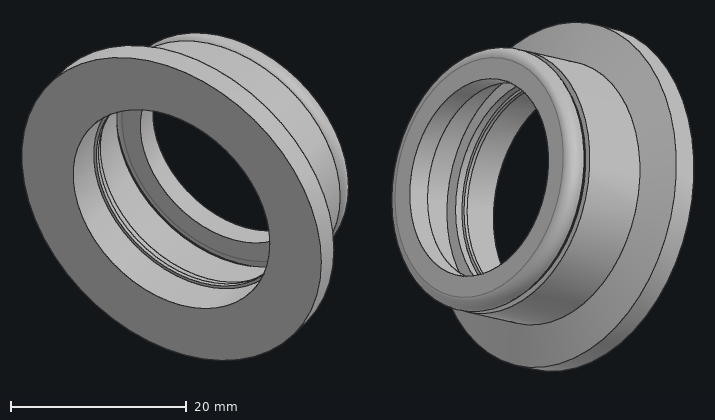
import cadquery as cq


flange_radius = 19.95
rim_thickness = 2.8
tube_radius = 15.25
cone_end = 4.03
tube_length = 11.92

bore_radius = 13.1
lip_start = 4.5
lip_radius = 12.72
lip_thickness = 0.48
rear_bore_radius = 14.5
rear_bore_start = 6.0

ring_bore_radius = 11.4
ring_outer_radius = tube_radius
overall_length = 14.8
ring_gap = 0.08
ring_start = tube_length + ring_gap
ring_round = (overall_length - ring_start) / 2


def turn(profile):
    """Turn a closed (radius, Y) profile about the Y axis."""
    return profile.close().revolve(360, (0, 0, 0), (0, 1, 0))


def make_housing():
    """Flange with a conical back, a tube and a stepped bore with an inner lip."""
    lip_back = lip_start + lip_thickness
    profile = (
        cq.Workplane("XY")
        .moveTo(bore_radius, 0)
        .lineTo(flange_radius, 0)
        .lineTo(flange_radius, rim_thickness)
        .lineTo(tube_radius, cone_end)
        .lineTo(tube_radius, tube_length)
        .lineTo(rear_bore_radius, tube_length)
        .lineTo(rear_bore_radius, rear_bore_start)
        .lineTo(bore_radius, rear_bore_start)
        .lineTo(bore_radius, lip_back)
        .lineTo(lip_radius, lip_back)
        .lineTo(lip_radius, lip_start)
        .lineTo(bore_radius, lip_start)
    )
    return turn(profile)


def make_ring():
    """Flat ring with a half-round outer edge, standing just clear of the tube."""
    round_center = ring_outer_radius - ring_round
    profile = (
        cq.Workplane("XY")
        .moveTo(ring_bore_radius, ring_start)
        .lineTo(round_center, ring_start)
        .threePointArc(
            (ring_outer_radius, ring_start + ring_round),
            (round_center, overall_length),
        )
        .lineTo(ring_bore_radius, overall_length)
    )
    return turn(profile)


housing = make_housing()
ring = make_ring()
result = cq.Compound.makeCompound([housing.val(), ring.val()])